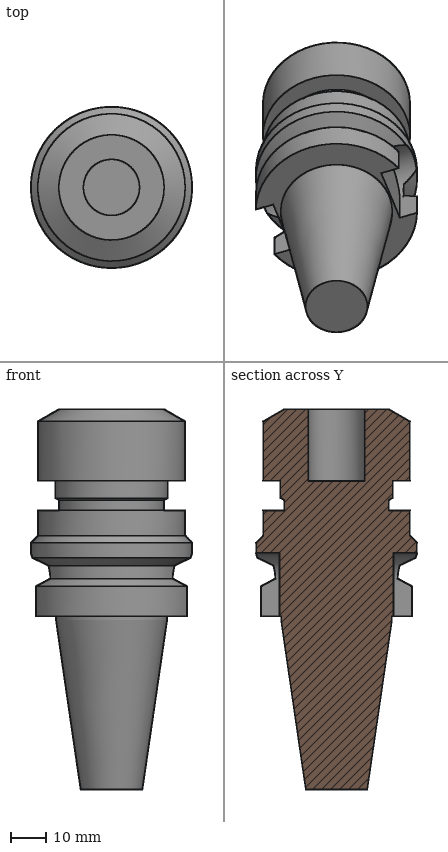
import cadquery as cq
import math

gauge_radius = 31.75 / 2
taper_length = 48.4
taper_ratio = 7 / 24
taper_end_radius = gauge_radius - taper_length * taper_ratio / 2

flange_radius = 23.0
flange_bottom = 1.0
flange_top = 22.0
groove_radius = 19.2
groove_center = 13.6
groove_floor_width = 3.7
groove_flank_angle = 30.0
groove_flank_height = (flange_radius - groove_radius) * math.tan(math.radians(groove_flank_angle))
groove_floor_bottom = groove_center - groove_floor_width / 2
groove_floor_top = groove_center + groove_floor_width / 2

collar_radius = 21.0
collar_top = 31.2
collar_chamfer = flange_radius - collar_radius

relief_radius = 15.0
relief_top = 34.1
neck_radius = 16.1
neck_bottom = 34.7

nut_radius = 21.0
nut_bottom = 39.6
nut_top = 60.0
nut_face_radius = 15.0
nut_chamfer_angle = 30.0
nut_chamfer_height = (nut_radius - nut_face_radius) * math.tan(math.radians(nut_chamfer_angle))
bore_diameter = 16.0
bore_depth = nut_top - nut_bottom

slot_width = 16.1
slot_top = 19.0
slot_floor_distance = 16.3
slot_end_center = slot_top - slot_width / 2


def make_body():
    """Revolve the half profile, listed as (radius, height), about Z."""
    profile = [
        (0, -taper_length),
        (taper_end_radius, -taper_length),
        (gauge_radius, 0),
        (gauge_radius, flange_bottom),
        (flange_radius, flange_bottom),
        (flange_radius, groove_floor_bottom - groove_flank_height),
        (groove_radius, groove_floor_bottom),
        (groove_radius, groove_floor_top),
        (flange_radius, groove_floor_top + groove_flank_height),
        (flange_radius, flange_top),
        (collar_radius, flange_top + collar_chamfer),
        (collar_radius, collar_top),
        (relief_radius, collar_top),
        (relief_radius, relief_top),
        (neck_radius, neck_bottom),
        (neck_radius, nut_bottom),
        (nut_radius, nut_bottom),
        (nut_radius, nut_top - nut_chamfer_height),
        (nut_face_radius, nut_top),
        (0, nut_top),
    ]
    return cq.Workplane("XZ").polyline(profile).close().revolve(360, (0, 0, 0), (0, 1, 0))


def make_bore():
    """Blind bore cutter entering from the nut face."""
    return cq.Workplane("XY", origin=(0, 0, nut_top)).circle(bore_diameter / 2).extrude(-bore_depth)


def make_drive_slot(side):
    """Round-ended slot cutter, open at the flange bottom; side is -1 or +1 along X."""
    half_width = slot_width / 2
    slot_depth = flange_radius - slot_floor_distance
    return (
        cq.Workplane("YZ", origin=(side * slot_floor_distance, 0, 0))
        .moveTo(-half_width, flange_bottom)
        .lineTo(-half_width, slot_end_center)
        .threePointArc((0, slot_top), (half_width, slot_end_center))
        .lineTo(half_width, flange_bottom)
        .close()
        .extrude(side * slot_depth)
    )


result = make_body().cut(make_bore())
for slot_side in (-1, 1):
    result = result.cut(make_drive_slot(slot_side))